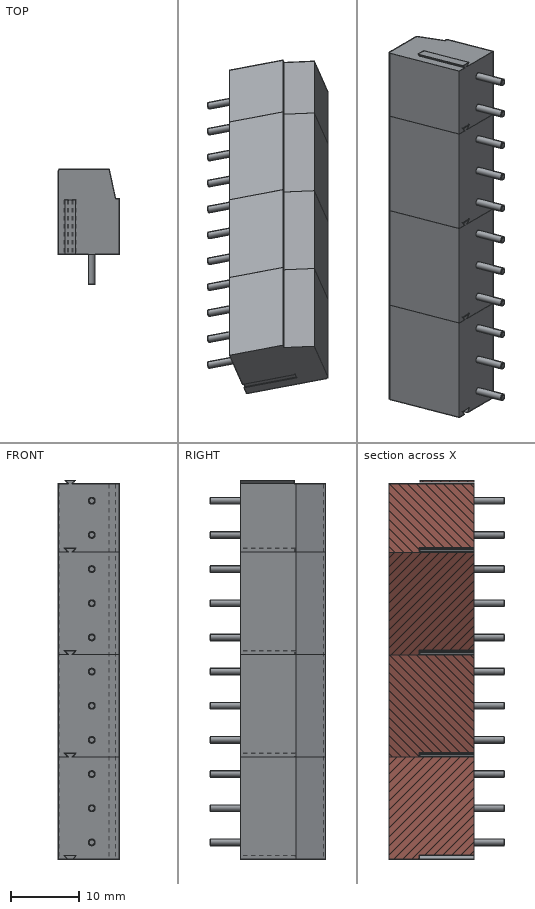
import cadquery as cq

overall_height = 55.5
tab_height = 0.5
poles_per_module = [3, 3, 3, 2]
pitch = (overall_height - tab_height) / sum(poles_per_module)

width = 9.0
depth = 12.5
top_width = 7.5
shoulder_x = 8.45
shoulder_y = 8.15

bevel_x = 0.15
bevel_y = 0.35

pin_diameter = 1.0
pin_length = 4.45
pin_chamfer = 0.1
pin_x = 4.95

tab_x = 1.8
tab_length = 7.95
tab_tip_width = 1.55
tab_root_width = 0.55

slot_clearance = 0.1


def make_block(height):
    """Housing body: one side slopes in above a small shoulder, the other has a bevelled rear edge."""
    outline = [
        (0, 0),
        (width, 0),
        (width, shoulder_y),
        (shoulder_x, shoulder_y),
        (top_width, depth),
        (bevel_x, depth),
        (0, depth - bevel_y),
    ]
    return cq.Workplane("XY").polyline(outline).close().extrude(height)


def make_dovetail(base_z, height, clearance):
    """Dovetail prism that widens upward and runs back from the front face."""
    half_root = tab_root_width / 2 + clearance
    half_tip = tab_tip_width / 2 + clearance
    outline = [
        (tab_x - half_root, base_z),
        (tab_x + half_root, base_z),
        (tab_x + half_tip, base_z + height + clearance),
        (tab_x - half_tip, base_z + height + clearance),
    ]
    return cq.Workplane("XZ").polyline(outline).close().extrude(-(tab_length + clearance))


def make_pin(z):
    """Round pin with a chamfered tip, standing on the front face."""
    pin = cq.Workplane("XZ").center(pin_x, z).circle(pin_diameter / 2).extrude(pin_length)
    return pin.faces("<Y").chamfer(pin_chamfer)


def make_module(poles):
    """One module: housing, slot underneath, tab on top and its row of pins."""
    height = poles * pitch
    module = make_block(height)
    module = module.cut(make_dovetail(0, tab_height, slot_clearance))
    module = module.union(make_dovetail(height, tab_height, 0))
    for pole in range(poles):
        module = module.union(make_pin((pole + 0.5) * pitch))
    return module


modules = []
base_z = 0
for poles in poles_per_module:
    modules.append(make_module(poles).translate((0, 0, base_z)).solids().val())
    base_z += poles * pitch

result = cq.Compound.makeCompound(modules)